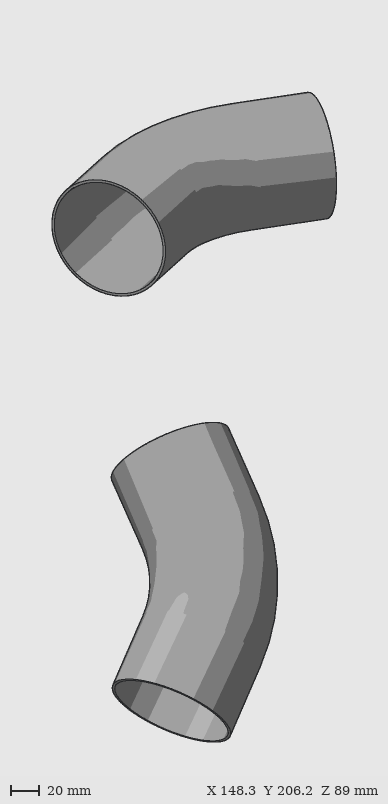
import cadquery as cq
import math

outer_diameter = 89.0
inner_diameter = 85.0
straight_length = 55.0
bend_radius = 114.3
bend_angle = 45.0

angle = math.radians(bend_angle)
bend_start = (0, straight_length)


def point_on_bend(turn):
    """Centreline point after turning by the given angle from +Y toward +X."""
    x = bend_radius * (1 - math.cos(turn))
    y = straight_length + bend_radius * math.sin(turn)
    return (x, y)


bend_middle = point_on_bend(angle / 2)
bend_end = point_on_bend(angle)
pipe_end = (
    bend_end[0] + straight_length * math.sin(angle),
    bend_end[1] + straight_length * math.cos(angle),
)

centreline = (
    cq.Workplane("XY")
    .lineTo(*bend_start)
    .threePointArc(bend_middle, bend_end)
    .lineTo(*pipe_end)
)

result = (
    cq.Workplane("XZ")
    .circle(outer_diameter / 2)
    .circle(inner_diameter / 2)
    .sweep(centreline)
)